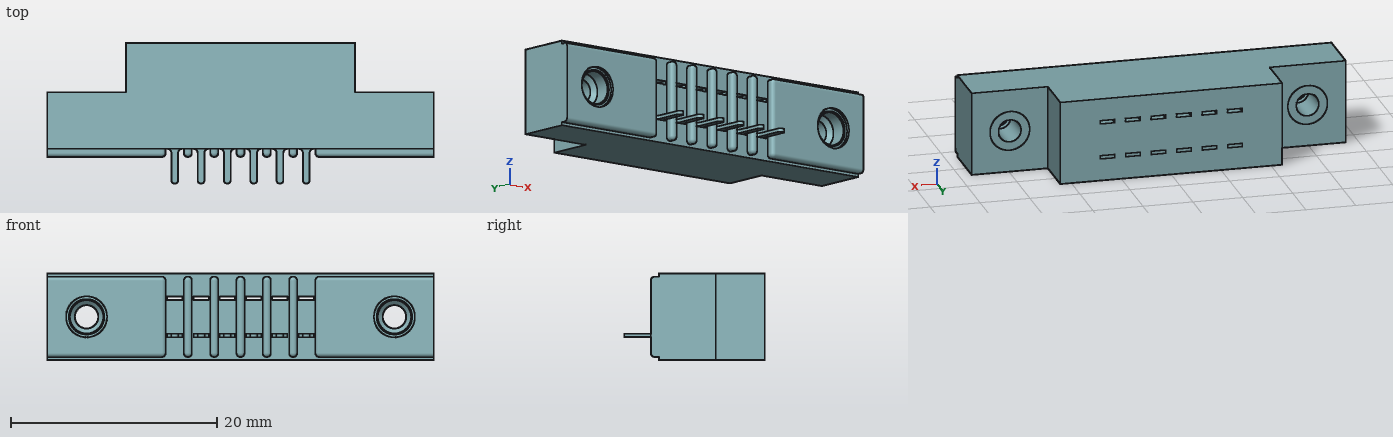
import cadquery as cq
import math


length = 37.47
height = 8.4
flange_depth = 5.5
nose_depth = 4.75
nose_length = 22.22

contact_count = 6
pitch = 2.55
slot_width = 1.45
slot_height = 0.35
row_offset = 1.8

rib_width = 0.8
raised_depth = 0.8
raised_height = 7.8
raised_fillet = 0.37
pad_inner_x = (contact_count * pitch - rib_width) / 2
pad_length = length / 2 - pad_inner_x

pin_width = 0.67
pin_reach = 3.37
flare_radius = (slot_width - pin_width) / 2

insert_spacing = 29.83
insert_diameter = 3.97
insert_recess = 0.3
insert_mouth_diameter = 3.45
insert_counterbore_diameter = 3.22
insert_counterbore_depth = 1.6
insert_bore_diameter = 2.25
insert_x = [-insert_spacing / 2, insert_spacing / 2]

contact_x = [(i - (contact_count - 1) / 2) * pitch for i in range(contact_count)]
rib_x = [(i - contact_count / 2) * pitch for i in range(1, contact_count)]


def box_along_y(width, y_start, y_end, box_height, x=0.0, z=0.0):
    """Box centred on x and z, running from y_start to y_end."""
    return (
        cq.Workplane("XY")
        .box(width, y_end - y_start, box_height, centered=(True, False, True))
        .translate((x, y_start, z))
    )


def cylinder_along_y(diameter, y_start, y_end, x):
    """Cylinder on the line at x, running from y_start to y_end."""
    return cq.Workplane(
        cq.Solid.makeCylinder(diameter / 2, y_end - y_start, cq.Vector(x, y_start, 0), cq.Vector(0, 1, 0))
    )


def make_rib(x):
    """Rib rounded on every edge except those on the housing, leaving almost a full round in front."""
    rib = box_along_y(rib_width, -raised_depth, 0, raised_height, x)
    return rib.edges("not >Y").fillet(raised_fillet)


def make_pad(side):
    """Raised mounting pad, rounded except at its base and its outer end."""
    centre_x = side * (pad_inner_x + pad_length / 2)
    pad = box_along_y(pad_length, -raised_depth, 0, raised_height, centre_x)
    outer_end = "<X" if side < 0 else ">X"
    return pad.edges(f"not (>Y or {outer_end})").fillet(raised_fillet)


def make_housing():
    """Stepped block with ribs, pads, two rows of contact slots and two insert holes."""
    body = box_along_y(length, 0, flange_depth, height)
    body = body.union(box_along_y(nose_length, flange_depth, flange_depth + nose_depth, height))
    for side in (-1, 1):
        body = body.union(make_pad(side))
    for x in rib_x:
        body = body.union(make_rib(x))
    for x in contact_x:
        for z in (-row_offset, row_offset):
            body = body.cut(box_along_y(slot_width, 0, flange_depth + nose_depth, slot_height, x, z))
    for x in insert_x:
        body = body.cut(cylinder_along_y(insert_diameter, -raised_depth, flange_depth, x))
    return body


def make_pin(x):
    """Flat contact that fills its slot and narrows through coved shoulders to a round-tipped tail."""
    half_slot = slot_width / 2
    half_pin = pin_width / 2
    rear_y = flange_depth + nose_depth
    tip_y = -pin_reach
    tip_start_y = tip_y + half_pin
    cove_x = flare_radius * (1 - math.sqrt(0.5))
    cove_y = flare_radius * math.sqrt(0.5) - flare_radius
    outline = (
        cq.Workplane("XY")
        .moveTo(-half_slot, rear_y)
        .lineTo(-half_slot, 0)
        .threePointArc((-half_pin - cove_x, cove_y), (-half_pin, -flare_radius))
        .lineTo(-half_pin, tip_start_y)
        .threePointArc((0, tip_y), (half_pin, tip_start_y))
        .lineTo(half_pin, -flare_radius)
        .threePointArc((half_pin + cove_x, cove_y), (half_slot, 0))
        .lineTo(half_slot, rear_y)
        .close()
    )
    pin = outline.extrude(slot_height / 2, both=True)
    return pin.translate((x, 0, -row_offset))


def make_insert(x):
    """Sleeve set just below the pad face, with a chamfered counterbore that tapers to a plain bore."""
    mouth_y = insert_recess - raised_depth
    outer_radius = insert_diameter / 2
    mouth_radius = insert_mouth_diameter / 2
    counterbore_radius = insert_counterbore_diameter / 2
    bore_radius = insert_bore_diameter / 2
    chamfer_y = mouth_y + (mouth_radius - counterbore_radius)
    taper_y = mouth_y + insert_counterbore_depth
    bore_y = taper_y + (counterbore_radius - bore_radius)
    profile = (
        cq.Workplane("XY")
        .moveTo(outer_radius, mouth_y)
        .lineTo(outer_radius, flange_depth)
        .lineTo(bore_radius, flange_depth)
        .lineTo(bore_radius, bore_y)
        .lineTo(counterbore_radius, taper_y)
        .lineTo(counterbore_radius, chamfer_y)
        .lineTo(mouth_radius, mouth_y)
        .close()
    )
    sleeve = profile.revolve(360, (0, 0, 0), (0, 1, 0))
    return sleeve.translate((x, 0, 0))


housing = make_housing()
pins = [make_pin(x) for x in contact_x]
inserts = [make_insert(x) for x in insert_x]

result = cq.Compound.makeCompound(
    [housing.val(), *[pin.val() for pin in pins], *[insert.val() for insert in inserts]]
)